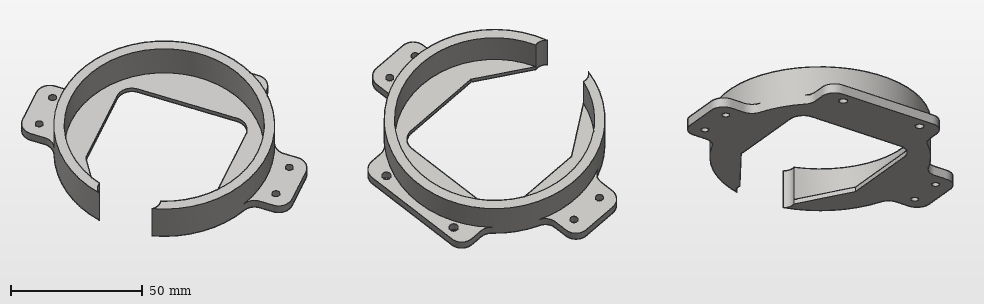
import cadquery as cq
import math

ring_radius = 42.0
ring_inner_radius = 38.0
ring_height = 16.0
floor_thickness = 2.0

tab_thickness = 4.0
corner_radius = 5.5
blend_radius = 5.5
side_tab_reach = 55.0
side_tab_half_width = 12.8
side_hole_diameter = 3.0
side_hole_reach = 48.3
side_hole_offset = 7.0
back_tab_reach = 45.6
back_tab_half_width = 26.3
back_hole_diameter = 3.4
back_hole_reach = 41.2
back_hole_offset = 17.6

opening_half_width = back_tab_half_width
opening_back_y = 24.3
opening_corner_radius = 6.0
taper_start_y = -14.7
gap_inner_half_width = 12.4
gap_middle_half_width = 12.2
gap_middle_y = -38.7
gap_outer_half_width = 10.7


def circle_y(radius, x):
    """Distance from the X axis to a circle about the origin at the given x."""
    return math.sqrt(radius**2 - x**2)


def tab(reach, half_width, hole_diameter, hole_reach, hole_offset, angle):
    """Rounded tab pointing along +X, blended into the ring, then turned about Z."""
    blend_y = half_width + blend_radius
    center_distance = ring_radius + blend_radius
    blend_x = circle_y(center_distance, blend_y)
    touch_x = blend_x * ring_radius / center_distance
    touch_y = blend_y * ring_radius / center_distance
    bisector = (math.atan2(blend_y, blend_x) + math.pi / 2) / 2
    middle_x = blend_x - blend_radius * math.cos(bisector)
    middle_y = blend_y - blend_radius * math.sin(bisector)

    plate = (
        cq.Workplane("XY")
        .moveTo(0, 0)
        .lineTo(touch_x, -touch_y)
        .threePointArc((middle_x, -middle_y), (blend_x, -half_width))
        .lineTo(reach, -half_width)
        .lineTo(reach, half_width)
        .lineTo(blend_x, half_width)
        .threePointArc((middle_x, middle_y), (touch_x, touch_y))
        .close()
        .extrude(tab_thickness)
        .edges("|Z and >X")
        .fillet(corner_radius)
    )
    holes = (
        cq.Workplane("XY")
        .pushPoints([(hole_reach, -hole_offset), (hole_reach, hole_offset)])
        .circle(hole_diameter / 2)
        .extrude(tab_thickness)
    )
    return plate.cut(holes).rotate((0, 0, 0), (0, 0, 1), angle)


def opening():
    """Window with a tapered front, running out through the ring with curved ends."""
    gap_inner_y = -circle_y(ring_inner_radius, gap_inner_half_width)
    gap_outer_y = -circle_y(ring_radius, gap_outer_half_width)
    clear_y = -ring_radius - 1.1
    return (
        cq.Workplane("XY")
        .moveTo(-opening_half_width, opening_back_y)
        .lineTo(-opening_half_width, taper_start_y)
        .lineTo(-gap_inner_half_width, gap_inner_y)
        .threePointArc((-gap_middle_half_width, gap_middle_y), (-gap_outer_half_width, gap_outer_y))
        .lineTo(-gap_outer_half_width, clear_y)
        .lineTo(gap_outer_half_width, clear_y)
        .lineTo(gap_outer_half_width, gap_outer_y)
        .threePointArc((gap_middle_half_width, gap_middle_y), (gap_inner_half_width, gap_inner_y))
        .lineTo(opening_half_width, taper_start_y)
        .lineTo(opening_half_width, opening_back_y)
        .close()
        .extrude(ring_height)
        .edges("|Z and >Y")
        .fillet(opening_corner_radius)
    )


body = cq.Workplane("XY").circle(ring_radius).extrude(ring_height)
for side_angle in (0, 180):
    body = body.union(
        tab(
            side_tab_reach,
            side_tab_half_width,
            side_hole_diameter,
            side_hole_reach,
            side_hole_offset,
            side_angle,
        )
    )
body = body.union(
    tab(
        back_tab_reach,
        back_tab_half_width,
        back_hole_diameter,
        back_hole_reach,
        back_hole_offset,
        90,
    )
)

bore = (
    cq.Workplane("XY")
    .workplane(offset=floor_thickness)
    .circle(ring_inner_radius)
    .extrude(ring_height - floor_thickness)
)
result = body.cut(bore).cut(opening())